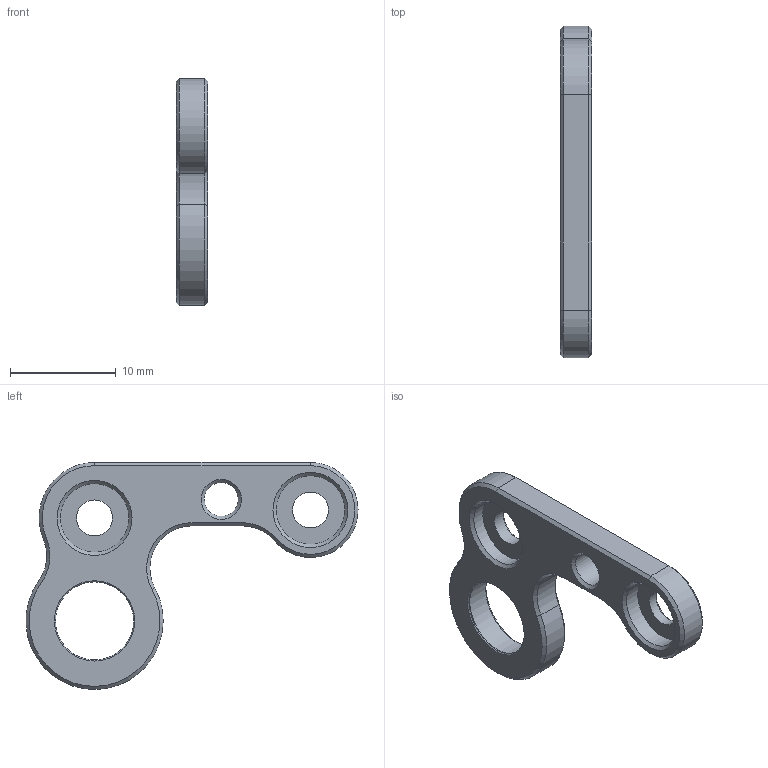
import cadquery as cq
import math

thickness = 3.0
edge_chamfer = 0.3
overall_length = 31.45
overall_height = 21.5

ring_radius = 6.5
corner_radius = 5.25
tip_radius = 4.5
blend_radius = 4.0
arm_depth = 6.0

ring_center = (0.0, ring_radius)
corner_center = (0.0, overall_height - corner_radius)
tip_center = (ring_radius + tip_radius - overall_length, overall_height - tip_radius)
pin_center = (-12.0, 18.0)
arm_bottom = overall_height - arm_depth

screw_diameter = 3.4
counterbore_diameter = 6.5
corner_counterbore_depth = 1.5
tip_counterbore_depth = 1.8
pin_diameter = 3.2
bearing_diameter = 8.1
bearing_lip_diameter = 7.4
bearing_lip_thickness = 0.2
bearing_lip_chamfer = 0.1


def point_towards(start, end, distance):
    """Point at a distance from start, on the line to end."""
    span = math.dist(start, end)
    return tuple(s + (e - s) * distance / span for s, e in zip(start, end))


def blend_under_arm(center, radius, side):
    """Centre of the blend touching the arm's lower edge and a circle; side is the Y direction from it."""
    z = arm_bottom - blend_radius
    reach = math.sqrt((radius + blend_radius) ** 2 - (z - center[1]) ** 2)
    return (center[0] + side * reach, z)


def neck_blend():
    """Centre of the blend touching the ring and the corner circle on the +Y side."""
    rise = corner_center[1] - ring_center[1]
    to_ring = ring_radius + blend_radius
    to_corner = corner_radius + blend_radius
    along = (rise**2 + to_ring**2 - to_corner**2) / (2 * rise)
    return (ring_center[0] + math.sqrt(to_ring**2 - along**2), ring_center[1] + along)


def arc_middle(center, start, end, radius):
    """Middle point of the shorter arc from start to end."""
    chord_middle = tuple((s + e) / 2 for s, e in zip(start, end))
    return point_towards(center, chord_middle, radius)


def make_plate():
    """Outline of three rounded ends joined by tangent blends, chamfered on both faces."""
    tip_blend = blend_under_arm(tip_center, tip_radius, 1)
    ring_blend = blend_under_arm(ring_center, ring_radius, -1)
    neck = neck_blend()

    corner_top = (corner_center[0], overall_height)
    tip_top = (tip_center[0], overall_height)
    tip_end = (tip_center[0] - tip_radius, tip_center[1])
    tip_tangent = point_towards(tip_center, tip_blend, tip_radius)
    arm_start = (tip_blend[0], arm_bottom)
    arm_end = (ring_blend[0], arm_bottom)
    ring_tangent = point_towards(ring_center, ring_blend, ring_radius)
    ring_bottom = (ring_center[0], ring_center[1] - ring_radius)
    neck_low = point_towards(ring_center, neck, ring_radius)
    neck_high = point_towards(corner_center, neck, corner_radius)

    outline = (
        cq.Workplane("YZ")
        .moveTo(*corner_top)
        .lineTo(*tip_top)
        .threePointArc(tip_end, tip_tangent)
        .threePointArc(arc_middle(tip_blend, tip_tangent, arm_start, blend_radius), arm_start)
        .lineTo(*arm_end)
        .threePointArc(arc_middle(ring_blend, arm_end, ring_tangent, blend_radius), ring_tangent)
        .threePointArc(ring_bottom, neck_low)
        .threePointArc(arc_middle(neck, neck_low, neck_high, blend_radius), neck_high)
        .threePointArc(arc_middle(corner_center, neck_high, corner_top, corner_radius), corner_top)
        .close()
    )
    return outline.extrude(thickness).faces("<X or >X").chamfer(edge_chamfer)


def cylinder(center, diameter, start=0.0, end=thickness):
    """Cylinder along X between two depths below the front face."""
    return cq.Workplane("YZ", origin=(start, *center)).circle(diameter / 2).extrude(end - start)


def edge_cone(center, diameter, size, face_x, inward):
    """Cone that breaks the edge of a hole at a face; inward is the X direction into the plate."""
    radius = diameter / 2
    cone = cq.Solid.makeCone(
        radius + size, radius, size, cq.Vector(face_x, *center), cq.Vector(inward, 0, 0)
    )
    return cq.Workplane(obj=cone)


def front_cone(center, diameter, size=edge_chamfer):
    return edge_cone(center, diameter, size, 0.0, 1)


def back_cone(center, diameter):
    return edge_cone(center, diameter, edge_chamfer, thickness, -1)


def cut_screw_hole(body, center, counterbore_depth):
    """Through hole with a counterbore in the front face, chamfered on both faces."""
    body = body.cut(cylinder(center, screw_diameter))
    body = body.cut(cylinder(center, counterbore_diameter, end=counterbore_depth))
    body = body.cut(front_cone(center, counterbore_diameter))
    return body.cut(back_cone(center, screw_diameter))


def cut_pin_hole(body):
    """Through hole chamfered on both faces."""
    body = body.cut(cylinder(pin_center, pin_diameter))
    body = body.cut(front_cone(pin_center, pin_diameter))
    return body.cut(back_cone(pin_center, pin_diameter))


def cut_bearing_seat(body):
    """Bearing pocket open at the back and stopped at the front by a thin lip, both edges chamfered."""
    body = body.cut(cylinder(ring_center, bearing_lip_diameter))
    body = body.cut(cylinder(ring_center, bearing_diameter, start=bearing_lip_thickness))
    body = body.cut(front_cone(ring_center, bearing_lip_diameter, bearing_lip_chamfer))
    return body.cut(back_cone(ring_center, bearing_diameter))


result = make_plate()
result = cut_screw_hole(result, corner_center, corner_counterbore_depth)
result = cut_screw_hole(result, tip_center, tip_counterbore_depth)
result = cut_pin_hole(result)
result = cut_bearing_seat(result)